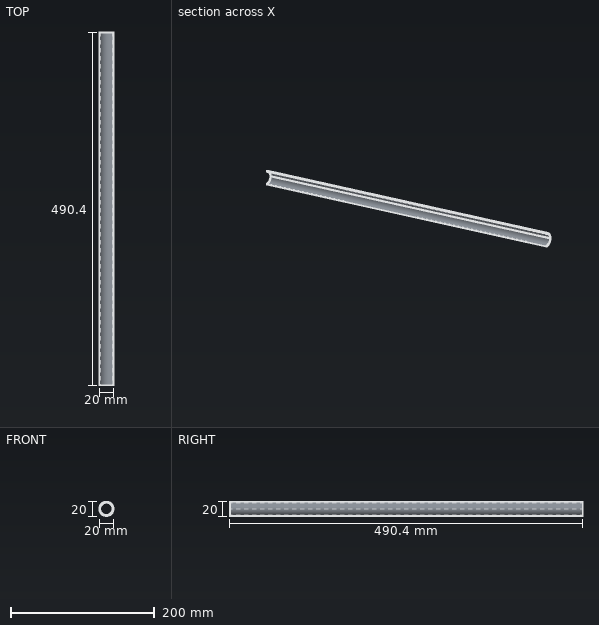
import cadquery as cq

tube_length = 490.45
outer_diameter = 20.0
wall_thickness = 1.5
slit_width = 0.1

outer_radius = outer_diameter / 2
inner_radius = outer_radius - wall_thickness


def make_tube():
    """Straight round tube along Y, centred on the origin and open at both ends."""
    return (
        cq.Workplane("XZ", origin=(0, tube_length / 2, 0))
        .circle(outer_radius)
        .circle(inner_radius)
        .extrude(tube_length)
    )


def make_slit_cutter():
    """Thin bar through the -X wall along the whole tube, its lower face on the plane Z = 0."""
    bar_depth = 4 * wall_thickness
    return (
        cq.Workplane("XY")
        .box(bar_depth, tube_length, slit_width, centered=(True, True, False))
        .translate((-outer_radius, 0, 0))
    )


result = make_tube().cut(make_slit_cutter())